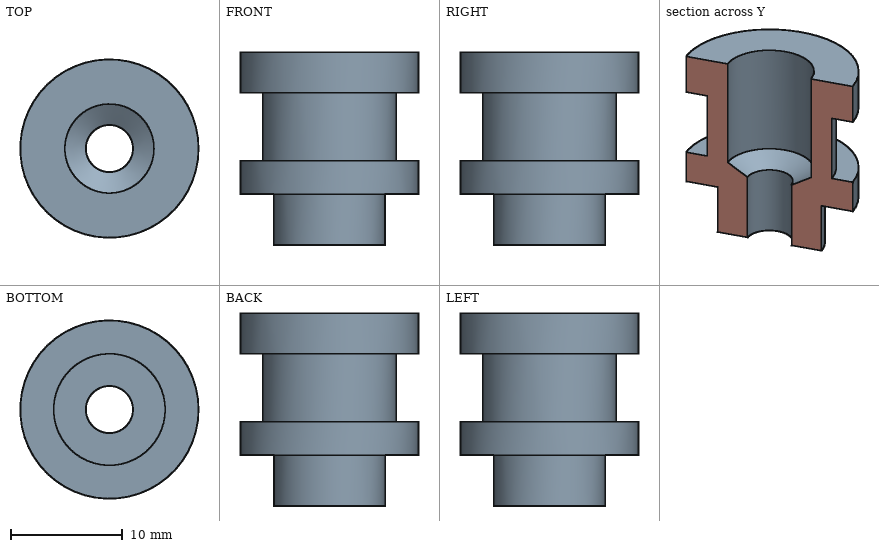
import cadquery as cq
import math

total_height = 17.3
flange_diameter = 16.0

spigot_diameter = 10.0
spigot_height = 4.57
lower_flange_height = 3.01
neck_diameter = 12.0
upper_flange_height = 3.67

bore_diameter = 8.0
hole_diameter = 4.2
bore_depth = 10.0
taper_included_angle = 118.0

flange_radius = flange_diameter / 2
spigot_radius = spigot_diameter / 2
neck_radius = neck_diameter / 2
bore_radius = bore_diameter / 2
hole_radius = hole_diameter / 2

lower_flange_top = spigot_height + lower_flange_height
upper_flange_bottom = total_height - upper_flange_height
taper_top = total_height - bore_depth
taper_height = (bore_radius - hole_radius) / math.tan(math.radians(taper_included_angle / 2))
taper_bottom = taper_top - taper_height

half_section = [
    (hole_radius, 0),
    (spigot_radius, 0),
    (spigot_radius, spigot_height),
    (flange_radius, spigot_height),
    (flange_radius, lower_flange_top),
    (neck_radius, lower_flange_top),
    (neck_radius, upper_flange_bottom),
    (flange_radius, upper_flange_bottom),
    (flange_radius, total_height),
    (bore_radius, total_height),
    (bore_radius, taper_top),
    (hole_radius, taper_bottom),
]

result = cq.Workplane("XZ").polyline(half_section).close().revolve(360, (0, 0, 0), (0, 1, 0))